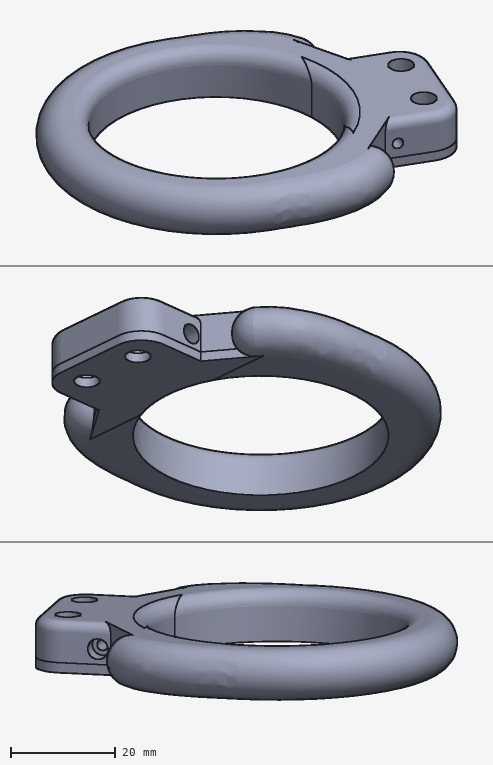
import cadquery as cq
import math

THICKNESS = 10.0
BORE_RADIUS = 24.5
BORE_FILLET = 3.0
CORE_RADIUS = 29.5
BAND_RADIUS = THICKNESS / 2
MID_HEIGHT = THICKNESS / 2

SHOULDER_MIDDLE = (28.2, 14.9)
SHOULDER_END = (23.0, 23.0)
SLOPE_ANGLE = 54.5

LENGTH = 80
TAB_WIDTH = 28
TAB_TOP = LENGTH - CORE_RADIUS - BAND_RADIUS
TAB_CORNER_RADIUS = 6.0
TAB_EDGE_FILLET = 2.0
TAB_ROOT = 28.8

MOUNT_HOLE_DIAMETER = 5.0
MOUNT_HOLE_X = 7.0
MOUNT_HOLE_Y = TAB_TOP - TAB_CORNER_RADIUS
CROSS_HOLE_DIAMETER = 2.2
CROSS_HOLE_Y = 32
CROSS_RECESS_DIAMETER = 4
CROSS_RECESS_DEPTH = 4

COVER_PLATE_THICKNESS = 2.0
COVER_START_Y = 22.4
LIP_RADIUS = BORE_RADIUS + BORE_FILLET

SLOPE_NORMAL = (math.cos(math.radians(SLOPE_ANGLE)), math.sin(math.radians(SLOPE_ANGLE)))
SLOPE_DIRECTION = (-SLOPE_NORMAL[1], SLOPE_NORMAL[0])
SLOPE_END_X = TAB_WIDTH / 2 - TAB_EDGE_FILLET
SLOPE_RISE = (SLOPE_END_X - SHOULDER_END[0]) * SLOPE_DIRECTION[1] / SLOPE_DIRECTION[0]
SLOPE_END_Y = SHOULDER_END[1] + SLOPE_RISE


def shoulder_curve():
    """Curve in the XY plane from the +X side of the ring to the start of the slope."""
    points = [(CORE_RADIUS, 0), SHOULDER_MIDDLE, SHOULDER_END]
    return cq.Workplane("XY").spline(points, tangents=[(0, 1), SLOPE_DIRECTION])


def make_blank():
    """Ring outline with both shoulders, filled and at full thickness."""
    ring = cq.Workplane("XY").circle(CORE_RADIUS).extrude(THICKNESS)
    shoulder = (
        shoulder_curve()
        .lineTo(SLOPE_END_X, SLOPE_END_Y)
        .lineTo(0, SLOPE_END_Y)
        .lineTo(0, 0)
        .close()
        .extrude(THICKNESS)
    )
    return ring.union(shoulder).union(shoulder.mirror("YZ"))


def make_tab():
    """Tab block with round corners and a rounded upper edge on its three free sides."""
    depth = TAB_TOP - TAB_ROOT
    tab = cq.Workplane("XY").box(TAB_WIDTH, depth, THICKNESS, centered=(True, False, False))
    tab = tab.translate((0, TAB_ROOT, 0))
    tab = tab.edges("|Z and >Y").fillet(TAB_CORNER_RADIUS)
    return tab.faces(">Y").edges(">Z").fillet(TAB_EDGE_FILLET)


def make_bore_rounding():
    """Material removed to round the upper rim of the bore."""
    bulge = BORE_FILLET * (1 - math.sqrt(0.5))
    return (
        cq.Workplane("XZ")
        .moveTo(BORE_RADIUS, THICKNESS - BORE_FILLET)
        .threePointArc((BORE_RADIUS + bulge, THICKNESS - bulge), (LIP_RADIUS, THICKNESS))
        .lineTo(BORE_RADIUS, THICKNESS)
        .close()
        .revolve(360, (0, 0, 0), (0, 1, 0))
    )


def make_tab_holes():
    """Two upright mounting holes and a cross hole along X, recessed on its -X side."""
    mount_places = [(-MOUNT_HOLE_X, MOUNT_HOLE_Y), (MOUNT_HOLE_X, MOUNT_HOLE_Y)]
    mounts = cq.Workplane("XY").pushPoints(mount_places).circle(MOUNT_HOLE_DIAMETER / 2).extrude(THICKNESS)
    tab_side = cq.Workplane("YZ", origin=(-TAB_WIDTH / 2, CROSS_HOLE_Y, MID_HEIGHT))
    cross = tab_side.circle(CROSS_HOLE_DIAMETER / 2).extrude(TAB_WIDTH)
    recess = tab_side.circle(CROSS_RECESS_DIAMETER / 2).extrude(CROSS_RECESS_DEPTH)
    return mounts.union(cross).union(recess)


def make_core():
    """Flat ring with shoulders and tab, before it is divided into housing and cover."""
    core = make_blank().union(make_tab())
    core = core.cut(cq.Workplane("XY").circle(BORE_RADIUS).extrude(THICKNESS))
    return core.cut(make_bore_rounding()).cut(make_tab_holes())


def band_section(point, outward):
    """Half-round upright profile with its flat side at the point, bulging outward."""
    plane = cq.Plane(origin=(*point, 0), xDir=(*outward, 0), normal=(outward[1], -outward[0], 0))
    return cq.Workplane(plane).threePointArc((BAND_RADIUS, MID_HEIGHT), (0, THICKNESS)).close()


def make_band():
    """Half-round band along the ring and shoulders, closed by a ball end on each slope."""
    ring_start = (CORE_RADIUS, 0)
    bottom = band_section(ring_start, (1, 0)).revolve(180, (-CORE_RADIUS, 0.8), (-CORE_RADIUS, 0))
    shoulder = band_section(ring_start, (1, 0)).sweep(shoulder_curve())
    ball_end = band_section(SHOULDER_END, SLOPE_NORMAL).revolve(90, (0, 0), (0, 1))
    side = shoulder.union(ball_end)
    return bottom.union(side).union(side.mirror("YZ"))


def tab_side_layer(height):
    """Layer of the given height over the tab side of the ring, from the cover's straight edge on."""
    depth = TAB_TOP - COVER_START_Y
    layer = cq.Workplane("XY").box(LENGTH, depth, height, centered=(True, False, False))
    return layer.translate((0, COVER_START_Y, 0))


def make_cover_space():
    """Space of the cover: a layer under the tab, and the full height inside the lip radius."""
    lip = cq.Workplane("XY").circle(LIP_RADIUS).extrude(THICKNESS).intersect(tab_side_layer(THICKNESS))
    return tab_side_layer(COVER_PLATE_THICKNESS).union(lip)


core = make_core()
cover = core.intersect(make_cover_space())
housing = core.union(make_band()).cut(cover)

result = cq.Compound.makeCompound([housing.val(), cover.val()])